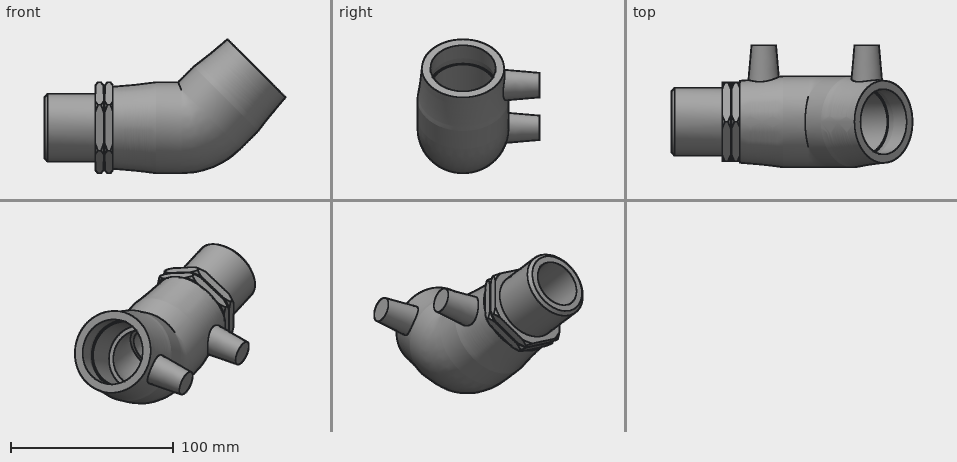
import cadquery as cq
import math

BEND_ANGLE = 45
BODY_RADIUS = 28
LEG_END_RADIUS = 25.25
LEG_LENGTH = 51.6
BEND_TANGENT = 9.7
STRAIGHT_LENGTH = 15.5
BEND_RADIUS = BEND_TANGENT / math.tan(math.radians(BEND_ANGLE / 2))
TAPER_START = BEND_TANGENT + STRAIGHT_LENGTH
TAPER_START_SLOPE = -0.16
TAPER_END_SLOPE = -0.08

POST_DISTANCE = 37
POST_TIP_Y = 47
POST_TIP_RADIUS = 7.6
POST_DRAFT = 5

PIPE_RADIUS = 41.91 / 2
PIPE_BORE_RADIUS = 29.34 / 2
PIPE_END_X = -93.66
PIPE_CHAMFER_LENGTH = 2
PIPE_CHAMFER_DEPTH = 2.25
HEX_SIDES = 6
HALF_HEX_ANGLE = 180 / HEX_SIDES
NUT_CORNER_DIAMETER = 56
NUT_WIDTH = 5
NUT_GAP = 0.8
NUT_FACE_RADIUS = 26.1
NUT_CHAMFER_LENGTH = 1.6

BEND_BORE_RADIUS = 17.15
SOCKET_RADIUS = 20
GROOVE_RADIUS = PIPE_RADIUS
GROOVE_START_DEPTH = 11.25
GROOVE_END_DEPTH = 16.75


def raised(shape):
    """Turn a shape lying along +X so that it lies along the raised leg."""
    return shape.rotate((0, 0, 0), (0, 1, 0), -BEND_ANGLE)


def leg():
    """Solid leg along +X: a cylinder from the bend, then a smooth taper to the end face."""
    return (
        cq.Workplane("XZ")
        .moveTo(BEND_TANGENT, 0)
        .lineTo(BEND_TANGENT, BODY_RADIUS)
        .lineTo(TAPER_START, BODY_RADIUS)
        .spline(
            [(LEG_LENGTH, LEG_END_RADIUS)],
            tangents=[(1, TAPER_START_SLOPE), (1, TAPER_END_SLOPE)],
            includeCurrent=True,
        )
        .lineTo(LEG_LENGTH, 0)
        .close()
        .revolve(360, (0, 0, 0), (1, 0, 0))
    )


def bend(radius):
    """Solid elbow of round section joining the legs.

    A section that reaches past the bend axis is cut off flat along that axis.
    """
    section = cq.Workplane("YZ", origin=(-BEND_TANGENT, 0, 0))
    if radius > BEND_RADIUS:
        half_chord = math.sqrt(radius**2 - BEND_RADIUS**2)
        section = (
            section.moveTo(-half_chord, BEND_RADIUS)
            .threePointArc((0, -radius), (half_chord, BEND_RADIUS))
            .close()
        )
    else:
        section = section.circle(radius)
    return section.revolve(BEND_ANGLE, (0, BEND_RADIUS, 0), (-1, BEND_RADIUS, 0))


def post(center_x):
    """Tapered post pointing to +Y, rooted in the leg wall at the socket surface."""
    height = POST_TIP_Y - SOCKET_RADIUS
    return (
        cq.Workplane("XZ", origin=(center_x, POST_TIP_Y, 0))
        .circle(POST_TIP_RADIUS)
        .extrude(height, taper=-POST_DRAFT)
    )


def nut(start_x):
    """Hexagonal nut with a corner up and both faces chamfered to a circle."""
    hexagon = (
        cq.Workplane("YZ", origin=(start_x, 0, 0))
        .polygon(HEX_SIDES, NUT_CORNER_DIAMETER)
        .extrude(NUT_WIDTH)
        .rotate((0, 0, 0), (1, 0, 0), HALF_HEX_ANGLE)
    )
    corner_radius = NUT_CORNER_DIAMETER / 2
    end_x = start_x + NUT_WIDTH
    envelope = (
        cq.Workplane("XZ")
        .moveTo(start_x, 0)
        .lineTo(start_x, NUT_FACE_RADIUS)
        .lineTo(start_x + NUT_CHAMFER_LENGTH, corner_radius)
        .lineTo(end_x - NUT_CHAMFER_LENGTH, corner_radius)
        .lineTo(end_x, NUT_FACE_RADIUS)
        .lineTo(end_x, 0)
        .close()
        .revolve(360, (0, 0, 0), (1, 0, 0))
    )
    return hexagon.intersect(envelope)


def pipe():
    """Threaded pipe from its chamfered end to the body."""
    return (
        cq.Workplane("XZ")
        .moveTo(PIPE_END_X, 0)
        .lineTo(PIPE_END_X, PIPE_RADIUS - PIPE_CHAMFER_DEPTH)
        .lineTo(PIPE_END_X + PIPE_CHAMFER_LENGTH, PIPE_RADIUS)
        .lineTo(-LEG_LENGTH, PIPE_RADIUS)
        .lineTo(-LEG_LENGTH, 0)
        .close()
        .revolve(360, (0, 0, 0), (1, 0, 0))
    )


def socket():
    """Hollow of the raised leg along +X, with a flared retaining groove."""
    groove_start = LEG_LENGTH - GROOVE_START_DEPTH
    groove_end = LEG_LENGTH - GROOVE_END_DEPTH
    return (
        cq.Workplane("XZ")
        .moveTo(BEND_TANGENT, 0)
        .lineTo(BEND_TANGENT, SOCKET_RADIUS)
        .lineTo(groove_end, SOCKET_RADIUS)
        .lineTo(groove_end, GROOVE_RADIUS)
        .lineTo(groove_start, SOCKET_RADIUS)
        .lineTo(LEG_LENGTH, SOCKET_RADIUS)
        .lineTo(LEG_LENGTH, 0)
        .close()
        .revolve(360, (0, 0, 0), (1, 0, 0))
    )


def pipe_bore():
    """Straight bore from the pipe end to the bend."""
    bore_length = -BEND_TANGENT - PIPE_END_X
    return cq.Workplane("YZ", origin=(PIPE_END_X, 0, 0)).circle(PIPE_BORE_RADIUS).extrude(bore_length)


inner_nut_x = -LEG_LENGTH - NUT_WIDTH
outer_nut_x = inner_nut_x - NUT_GAP - NUT_WIDTH

body = leg().mirror("YZ").union(bend(BODY_RADIUS)).union(raised(leg()))
posts = post(-POST_DISTANCE).union(raised(post(POST_DISTANCE)))
adapter = pipe().union(nut(inner_nut_x)).union(nut(outer_nut_x))
hollow = pipe_bore().union(bend(BEND_BORE_RADIUS)).union(raised(socket()))

result = body.union(posts).union(adapter).cut(hollow)